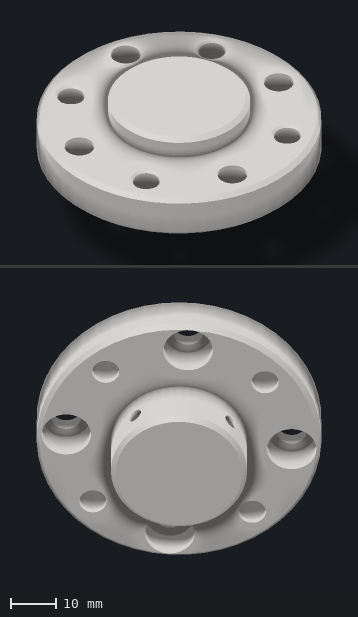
import cadquery as cq

flange_diameter = 63.0
flange_height = 10.0
boss_diameter = flange_diameter / 2
boss_height = 5.0
hub_diameter = 30.1
hub_height = 12.05
edge_chamfer = 1.0

bolt_circle_radius = 25.0
plain_hole_diameter = 6.6
counterbore_diameter = 10.9
counterbore_depth = 6.75
countersunk_hole_diameter = 6.0
countersink_diameter = 7.0
countersink_angle = 90
holes_per_set = 4
diagonal_angle = 180 / holes_per_set

cross_hole_diameter = 3.35
cross_hole_z = -hub_height / 2


def disc(diameter, bottom, top):
    """Upright cylinder on the Z axis between two heights."""
    return cq.Workplane("XY").workplane(offset=bottom).circle(diameter / 2).extrude(top - bottom)


def flange_holes(diameter, depth, start_angle):
    """Ring of evenly spaced cutters rising from the underside of the flange."""
    return (
        cq.Workplane("XY")
        .polarArray(bolt_circle_radius, start_angle, 360, holes_per_set)
        .circle(diameter / 2)
        .extrude(depth)
    )


flange = disc(flange_diameter, 0, flange_height).edges().chamfer(edge_chamfer)
boss = disc(boss_diameter, 0, flange_height + boss_height).faces(">Z").edges().chamfer(edge_chamfer)
hub = disc(hub_diameter, -hub_height, flange_height).faces("<Z").edges().chamfer(edge_chamfer)
body = flange.union(boss).union(hub)

body = body.cut(flange_holes(plain_hole_diameter, flange_height, diagonal_angle))
body = body.cut(flange_holes(counterbore_diameter, counterbore_depth, diagonal_angle))

body = (
    body.copyWorkplane(cq.Workplane("XY", origin=(0, 0, flange_height)))
    .polarArray(bolt_circle_radius, 0, 360, holes_per_set)
    .cskHole(countersunk_hole_diameter, countersink_diameter, countersink_angle, depth=flange_height)
)

for plane in ("XZ", "YZ"):
    pin_hole = (
        cq.Workplane(plane)
        .center(0, cross_hole_z)
        .circle(cross_hole_diameter / 2)
        .extrude(hub_diameter, both=True)
    )
    body = body.cut(pin_hole)

result = body